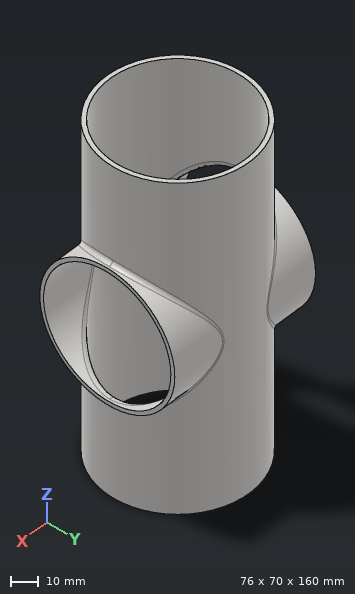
import cadquery as cq

pipe_length = 160.0
pipe_outer_diameter = 70.0
pipe_bore_diameter = 66.0

branch_span = 76.0
branch_outer_diameter = 66.0
branch_bore_diameter = 62.0

outer_seam_radius = 2.0
branch_wall = (branch_outer_diameter - branch_bore_diameter) / 2
inner_seam_radius = outer_seam_radius + branch_wall


def pipe_solid(diameter):
    return cq.Workplane("XY").circle(diameter / 2).extrude(pipe_length / 2, both=True)


def branch_solid(diameter):
    return cq.Workplane("YZ").circle(diameter / 2).extrude(branch_span / 2, both=True)


def blended_cross(pipe_diameter, branch_diameter, seam_radius):
    """Pipe and branch joined, with the seams between them rounded."""
    cross = pipe_solid(pipe_diameter).union(branch_solid(branch_diameter))
    seams = cross.edges("not %CIRCLE").edges("not %LINE")
    return seams.fillet(seam_radius)


outer_body = blended_cross(pipe_outer_diameter, branch_outer_diameter, outer_seam_radius)
inner_space = blended_cross(pipe_bore_diameter, branch_bore_diameter, inner_seam_radius)

result = outer_body.cut(inner_space)